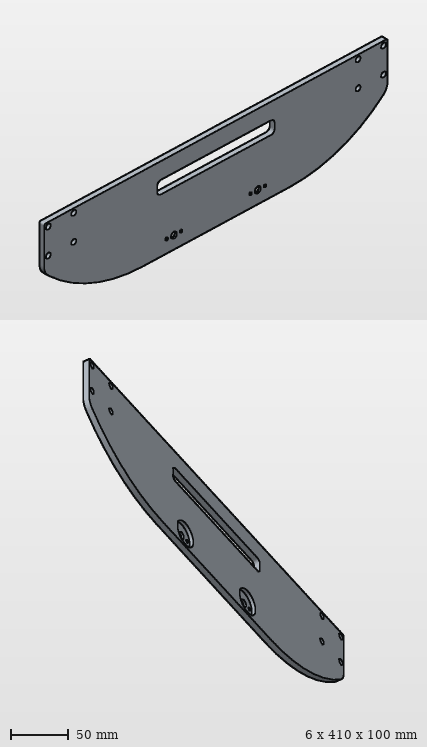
import cadquery as cq
import math

thickness = 6.0
length = 410.0
height = 100.0
half_length = length / 2
top = height / 2
bottom = -height / 2

bottom_flat_half = 87.7
belly_radius = 166.0
lower_corner_radius = 15.0
upper_corner_radius = 2.0

mount_hole_diameter = 5.7
mount_edge_distance = 5.0
mount_pitch = 30.5

slot_length = 140.0
slot_height = 15.0
slot_corner_radius = 4.0
slot_top_distance = 19.5

recess_spacing = 100.0
recess_bottom_distance = 15.0
recess_diameter = 25.5
recess_depth = 3.5
center_hole_diameter = 7.0
screw_hole_diameter = 3.0
screw_hole_offset = 8.5


def belly_point(y):
    """Point on the large arc at the +Y end."""
    center_z = bottom + belly_radius
    drop = math.sqrt(belly_radius**2 - (y - bottom_flat_half) ** 2)
    return (y, center_z - drop)


def mirrored(point):
    """The same point on the -Y side."""
    return (-point[0], point[1])


def face_sketch():
    """Plane with local axes Y and Z, on the -X face, extruding toward +X."""
    return cq.Workplane("YZ", origin=(-thickness / 2, 0, 0))


def round_corners(blank, corner_z, radius):
    """Fillet the pair of end corners at the given height."""
    margin = 0.5
    for side in (-1, 1):
        corner_y = side * half_length
        corner = cq.selectors.BoxSelector(
            (-thickness, corner_y - margin, corner_z - margin),
            (thickness, corner_y + margin, corner_z + margin),
        )
        blank = blank.edges("|X").edges(corner).fillet(radius)
    return blank


def plate():
    arc_end = belly_point(half_length)
    arc_middle = belly_point((bottom_flat_half + half_length) / 2)
    blank = (
        face_sketch()
        .moveTo(-half_length, top)
        .lineTo(half_length, top)
        .lineTo(*arc_end)
        .threePointArc(arc_middle, (bottom_flat_half, bottom))
        .lineTo(-bottom_flat_half, bottom)
        .threePointArc(mirrored(arc_middle), mirrored(arc_end))
        .close()
        .extrude(thickness)
    )
    blank = round_corners(blank, arc_end[1], lower_corner_radius)
    return round_corners(blank, top, upper_corner_radius)


def round_cutters(points, diameter, depth):
    return face_sketch().pushPoints(points).circle(diameter / 2).extrude(depth)


def mount_holes():
    outer_y = half_length - mount_edge_distance
    upper_z = top - mount_edge_distance
    points = [
        (side * y, z)
        for side in (-1, 1)
        for y in (outer_y, outer_y - mount_pitch)
        for z in (upper_z, upper_z - mount_pitch)
    ]
    return round_cutters(points, mount_hole_diameter, thickness)


def hand_slot():
    center_z = top - slot_top_distance - slot_height / 2
    return (
        face_sketch()
        .center(0, center_z)
        .rect(slot_length, slot_height)
        .extrude(thickness)
        .edges("|X")
        .fillet(slot_corner_radius)
    )


def recess(center_y):
    center_z = bottom + recess_bottom_distance
    screw_points = [(center_y + side * screw_hole_offset, center_z) for side in (-1, 1)]
    return (
        round_cutters([(center_y, center_z)], recess_diameter, recess_depth)
        .union(round_cutters([(center_y, center_z)], center_hole_diameter, thickness))
        .union(round_cutters(screw_points, screw_hole_diameter, thickness))
    )


result = plate().cut(mount_holes()).cut(hand_slot())
for side in (-1, 1):
    result = result.cut(recess(side * recess_spacing / 2))